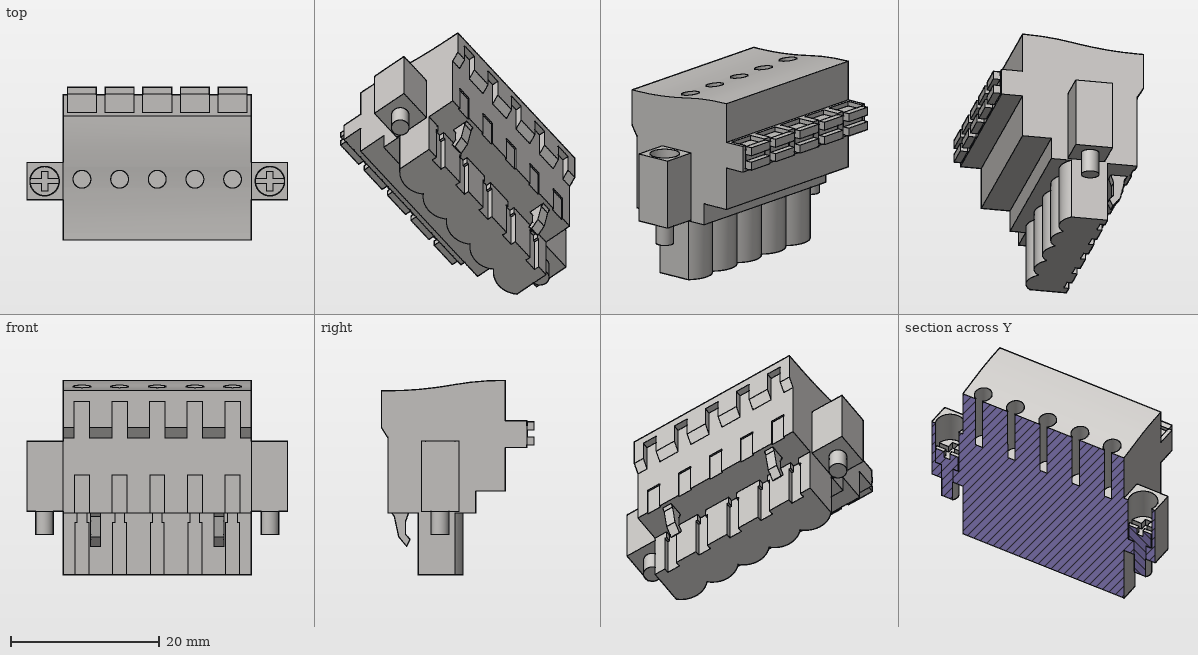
import cadquery as cq
import math


POLES = 5
PITCH = 5.08
WIDTH = POLES * PITCH
SIDES = (-1, 1)
POLE_X = [(i - (POLES - 1) / 2) * PITCH for i in range(POLES)]

HEIGHT = 26.24
BROW_BOTTOM_Z = 19.88
FRONT_Y = 0.88
FRONT_TOP_Z = 18.46
BODY_BOTTOM_Z = 8.33
STEP_Y = 12.76
STEP_Z = 11.3
BACK_Y = 16.74

SLOPE_FRONT_ANGLE = 7.4
SLOPE_BACK_ANGLE = 10.0
FRONT_ARC_Y = 0.88
SLOPE_FRONT_Y = 7.05
SLOPE_BACK_Y = 9.83
BACK_ARC_Y = 16.42

FLANGE_BACK_Y = 19.63
FLANGE_BOTTOM_Z = 17.15
FLANGE_TOP_Z = 20.78

LEVER_WIDTH = 3.92
LEVER_FRONT_Y = 17.19
LEVER_BACK_Y = 19.72
LEVER_TIP_Y = 20.64
LEVER_BOTTOM_Z = 17.49
LEVER_TOP_Z = 20.66
LEVER_BODY_TOP_Z = 20.15
LEVER_TAB_HEIGHT = 1.13

PLUG_FRONT_Y = 4.96
PLUG_BACK_Y = 11.04
LOBE_RISE = 1.06

WIRE_SLOT_WIDTH = 2.1
WIRE_SLOT_TOP_Z = 23.35
LOWER_SLOT_WIDTH = 2.0
LOWER_SLOT_TOP_Z = 13.44
LOWER_SLOT_DEPTH = 0.2
GROOVE_WIDTH = 1.88
GROOVE_NECK_WIDTH = 1.3
GROOVE_STEP_Z = 7.04
GROOVE_DEPTH = 0.7

TEST_HOLE_DIAMETER = 2.4
TEST_HOLE_Y = 8.2
TEST_HOLE_BOTTOM_Z = 17.0

LATCH_WIDTH = 1.37
LATCH_X = 8.32
LATCH_POINTS = [
    (1.42, BODY_BOTTOM_Z),
    (1.75, 7.87),
    (2.34, 5.12),
    (3.42, 3.82),
    (3.90, 4.76),
    (3.30, 5.45),
    (3.30, 7.23),
    (3.70, BODY_BOTTOM_Z),
]

TOTAL_WIDTH = 35.2
EAR_WIDTH = (TOTAL_WIDTH - WIDTH) / 2
EAR_DEPTH = 5.08
EAR_Y = 7.94
EAR_BOTTOM_Z = 8.55
EAR_TOP_Z = 18.02
SCREW_X = 15.2

BORE_DIAMETER = 4.0
HEAD_DIAMETER = 3.9
HEAD_BOTTOM_Z = 11.0
HEAD_HEIGHT = 2.5
SHAFT_DIAMETER = 2.4
SHAFT_BOTTOM_Z = 5.4
SLOT_WIDTH = 0.67
CROSS_WIDTH = 0.88
CROSS_LENGTH = 2.65
SLOT_DEPTH = 1.0


def block(x, width, y_range, z_range):
    """Box centred on x, spanning the given Y and Z ranges."""
    depth = y_range[1] - y_range[0]
    height = z_range[1] - z_range[0]
    box = cq.Workplane("XY").box(width, depth, height, centered=(True, False, False))
    return box.translate((x, y_range[0], z_range[0]))


def cylinder(x, y, diameter, z_range):
    """Upright cylinder spanning the given Z range."""
    disc = cq.Workplane("XY", origin=(x, y, z_range[0])).circle(diameter / 2)
    return disc.extrude(z_range[1] - z_range[0])


def body_block():
    """Main block: the side profile, with all roof arcs tangent to their neighbours."""
    front_run = SLOPE_FRONT_Y - FRONT_ARC_Y
    slope_run = SLOPE_BACK_Y - SLOPE_FRONT_Y
    back_run = BACK_ARC_Y - SLOPE_BACK_Y
    mean_slope = (SLOPE_FRONT_ANGLE + SLOPE_BACK_ANGLE) / 2
    slope_back_z = HEIGHT - back_run * math.tan(math.radians(SLOPE_BACK_ANGLE / 2))
    slope_front_z = slope_back_z - slope_run * math.tan(math.radians(mean_slope))
    front_z = slope_front_z - front_run * math.tan(math.radians(SLOPE_FRONT_ANGLE / 2))
    profile = (
        cq.Workplane("YZ", origin=(-WIDTH / 2, 0, 0))
        .moveTo(BACK_Y, HEIGHT)
        .lineTo(BACK_ARC_Y, HEIGHT)
        .tangentArcPoint((SLOPE_BACK_Y, slope_back_z), relative=False)
        .tangentArcPoint((SLOPE_FRONT_Y, slope_front_z), relative=False)
        .tangentArcPoint((FRONT_ARC_Y, front_z), relative=False)
        .lineTo(0, front_z)
        .lineTo(0, BROW_BOTTOM_Z)
        .lineTo(FRONT_Y, FRONT_TOP_Z)
        .lineTo(FRONT_Y, BODY_BOTTOM_Z)
        .lineTo(STEP_Y, BODY_BOTTOM_Z)
        .lineTo(STEP_Y, STEP_Z)
        .lineTo(BACK_Y, STEP_Z)
        .close()
    )
    return profile.extrude(WIDTH)


def plug():
    """Plug with a flat front and one rounded lobe per pole along its back."""
    valley_y = PLUG_BACK_Y - LOBE_RISE
    outline = (
        cq.Workplane("XY")
        .moveTo(WIDTH / 2, PLUG_FRONT_Y)
        .lineTo(-WIDTH / 2, PLUG_FRONT_Y)
        .lineTo(-WIDTH / 2, valley_y)
    )
    for x in POLE_X:
        outline = outline.threePointArc((x, PLUG_BACK_Y), (x + PITCH / 2, valley_y))
    return outline.close().extrude(BODY_BOTTOM_Z)


def plug_groove(x):
    """Groove down the plug front, narrower near the body."""
    y_range = (PLUG_FRONT_Y, PLUG_FRONT_Y + GROOVE_DEPTH)
    wide = block(x, GROOVE_WIDTH, y_range, (0, GROOVE_STEP_Z))
    neck = block(x, GROOVE_NECK_WIDTH, y_range, (GROOVE_STEP_Z, BODY_BOTTOM_Z))
    return wide.union(neck)


def latch(x):
    """Hooked latch hanging below the body in front of the plug."""
    start = cq.Workplane("YZ", origin=(x - LATCH_WIDTH / 2, 0, 0))
    return start.polyline(LATCH_POINTS).close().extrude(LATCH_WIDTH)


def screw_ear(side):
    """Ear on one end, bored for the screw head and drilled for its shaft."""
    x = side * (WIDTH + EAR_WIDTH) / 2
    y_range = (EAR_Y - EAR_DEPTH / 2, EAR_Y + EAR_DEPTH / 2)
    ear = block(x, EAR_WIDTH, y_range, (EAR_BOTTOM_Z, EAR_TOP_Z))
    ear = ear.cut(cylinder(side * SCREW_X, EAR_Y, BORE_DIAMETER, (HEAD_BOTTOM_Z, EAR_TOP_Z)))
    return ear.cut(cylinder(side * SCREW_X, EAR_Y, SHAFT_DIAMETER, (EAR_BOTTOM_Z, HEAD_BOTTOM_Z)))


def make_housing():
    housing = body_block().union(plug())
    flange_y = (BACK_Y, FLANGE_BACK_Y)
    housing = housing.union(block(0, WIDTH, flange_y, (FLANGE_BOTTOM_Z, FLANGE_TOP_Z)))
    for side in SIDES:
        housing = housing.union(latch(side * LATCH_X))
        housing = housing.union(screw_ear(side))

    wire_slot_y = (0, FRONT_Y)
    lower_slot_y = (FRONT_Y, FRONT_Y + LOWER_SLOT_DEPTH)
    lever_pocket_y = (LEVER_FRONT_Y, FLANGE_BACK_Y)
    for x in POLE_X:
        housing = housing.cut(block(x, WIRE_SLOT_WIDTH, wire_slot_y, (FRONT_TOP_Z, WIRE_SLOT_TOP_Z)))
        housing = housing.cut(block(x, LOWER_SLOT_WIDTH, lower_slot_y, (BODY_BOTTOM_Z, LOWER_SLOT_TOP_Z)))
        housing = housing.cut(plug_groove(x))
        housing = housing.cut(cylinder(x, TEST_HOLE_Y, TEST_HOLE_DIAMETER, (TEST_HOLE_BOTTOM_Z, HEIGHT)))
        housing = housing.cut(block(x, LEVER_WIDTH, lever_pocket_y, (LEVER_BOTTOM_Z, FLANGE_TOP_Z)))
    return housing


def make_lever(x):
    """Lever filling its flange pocket, with two finger tabs on its back."""
    lever = block(x, LEVER_WIDTH, (LEVER_FRONT_Y, LEVER_BACK_Y), (LEVER_BOTTOM_Z, LEVER_BODY_TOP_Z))
    for z in (LEVER_BOTTOM_Z, LEVER_TOP_Z - LEVER_TAB_HEIGHT):
        tab = block(x, LEVER_WIDTH, (LEVER_BACK_Y, LEVER_TIP_Y), (z, z + LEVER_TAB_HEIGHT))
        lever = lever.union(tab)
    return lever


def make_screw(side):
    """Flange screw: round head with a full slot crossed by a short one, and a plain shaft."""
    x = side * SCREW_X
    head_top_z = HEAD_BOTTOM_Z + HEAD_HEIGHT
    slot_z = (head_top_z - SLOT_DEPTH, head_top_z)
    screw = cylinder(x, EAR_Y, HEAD_DIAMETER, (HEAD_BOTTOM_Z, head_top_z))
    screw = screw.union(cylinder(x, EAR_Y, SHAFT_DIAMETER, (SHAFT_BOTTOM_Z, HEAD_BOTTOM_Z)))
    screw = screw.cut(block(x, HEAD_DIAMETER, (EAR_Y - SLOT_WIDTH / 2, EAR_Y + SLOT_WIDTH / 2), slot_z))
    cross_y = (EAR_Y - CROSS_LENGTH / 2, EAR_Y + CROSS_LENGTH / 2)
    return screw.cut(block(x, CROSS_WIDTH, cross_y, slot_z))


housing = make_housing()
levers = [make_lever(x) for x in POLE_X]
screws = [make_screw(side) for side in SIDES]

result = cq.Compound.makeCompound(
    [housing.val(), *[lever.val() for lever in levers], *[screw.val() for screw in screws]]
)